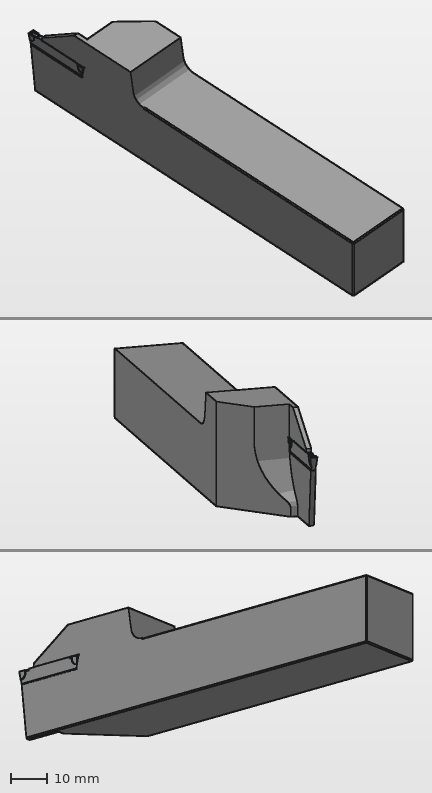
import cadquery as cq
import math

LENGTH = 125.0
SHANK = 20.0
HEAD_TOP = 30.1
BLADE_THICKNESS = 1.5
BLADE_FOOT_X = 2.4
BLADE_LEAN = 6.0
JAW_TIP_X = 5.0
JAW_NOSE_TOP = 21.5
HEAD_FRONT_X = 17.4
HEAD_BACK_X = 39.1
HEAD_BACK_LEAN = 9.0
HEAD_FILLET = 4.0
EDGE_CHAMFER = 0.4

BEVEL_END_X = 29.4
RELIEF_WALL_X = 21.0
RELIEF_ARC_TOP = 20.2
RELIEF_RADIUS = 21.0
RELIEF_NOSE_RADIUS = 3.0
RELIEF_FOOT_X = 12.9

INSERT_LENGTH = 20.9
TIP_WIDTH = 2.0
TIP_FOOT_WIDTH = 1.5
TIP_LENGTH = 2.0
TIP_HEIGHT = 2.5
TIP_TOP = 20.2
TIP_STRAIGHT = 1.1
TIP_RADIUS = 1.9
GROOVE_FRONT = 0.5
GROOVE_WIDTH = 1.0
GROOVE_DEPTH = 0.2
WEB_WIDTH = 1.2
INSERT_TOP = 20.5
INSERT_BOTTOM = 16.4
INSERT_END_SLOPE = 0.5
TIP_LAND = 2.9
TOP_RAMP = 0.5
WEB_BEVEL_HEIGHT = 0.4
WEB_BEVEL_DEPTH = 0.2
SEAT_BACK_X = 21.2

CUT_MARGIN = 6.2
MID_Y = BLADE_THICKNESS / 2
INSERT_MID_X = INSERT_LENGTH / 2

BACK_ANGLE = math.radians(HEAD_BACK_LEAN)
HEAD_CORNER_X = HEAD_BACK_X + (HEAD_TOP - SHANK) * math.tan(BACK_ANGLE)
FILLET_TANGENT = HEAD_FILLET * math.tan((math.pi / 2 - BACK_ANGLE) / 2)
FILLET_END_X = HEAD_CORNER_X + FILLET_TANGENT


def prism(sketch, y_start, y_end):
    """Extrude an XZ outline between two Y positions."""
    return sketch.extrude(-(y_end - y_start)).translate((0, y_start, 0))


def make_profile():
    """Side outline of the holder, extruded over the full shank width."""
    blade_top_x = BLADE_FOOT_X - INSERT_TOP * math.tan(math.radians(BLADE_LEAN))
    fillet_start = (
        HEAD_CORNER_X - FILLET_TANGENT * math.sin(BACK_ANGLE),
        SHANK + FILLET_TANGENT * math.cos(BACK_ANGLE),
    )
    outline = (
        cq.Workplane("XZ")
        .moveTo(BLADE_FOOT_X, 0)
        .lineTo(LENGTH, 0)
        .lineTo(LENGTH, SHANK)
        .lineTo(FILLET_END_X, SHANK)
        .radiusArc(fillet_start, HEAD_FILLET)
        .lineTo(HEAD_BACK_X, HEAD_TOP)
        .lineTo(HEAD_FRONT_X, HEAD_TOP)
        .lineTo(JAW_TIP_X, JAW_NOSE_TOP)
        .lineTo(JAW_TIP_X, INSERT_TOP)
        .lineTo(blade_top_x, INSERT_TOP)
        .close()
    )
    return prism(outline, 0, SHANK)


def chamfer_lower_and_end_edges(body):
    """Break the lower front edge and the edges around the shank end."""
    end_edges = body.faces(">X").edges("not >Y")
    lower_edge = body.faces("<Y").edges("<Z")
    return body.newObject(end_edges.vals() + lower_edge.vals()).chamfer(EDGE_CHAMFER)


def make_upper_edge_cut():
    """Wedge that breaks the upper front edge of the shank, ending at the head fillet."""
    return (
        cq.Workplane("YZ", origin=(FILLET_END_X, 0, 0))
        .moveTo(0, SHANK - EDGE_CHAMFER)
        .lineTo(EDGE_CHAMFER, SHANK)
        .lineTo(0, SHANK)
        .close()
        .extrude(LENGTH - FILLET_END_X)
    )


def make_bevel():
    """45 degree cut across the rear of the head."""
    reach = SHANK + CUT_MARGIN
    return (
        cq.Workplane("XY")
        .moveTo(BEVEL_END_X + CUT_MARGIN, reach)
        .lineTo(-CUT_MARGIN, reach)
        .lineTo(-CUT_MARGIN, BLADE_THICKNESS)
        .lineTo(BEVEL_END_X - SHANK + BLADE_THICKNESS, BLADE_THICKNESS)
        .close()
        .extrude(HEAD_TOP)
    )


def make_relief():
    """Swept clearance that leaves only the thin blade at the front."""
    angle = math.acos(
        1 - (RELIEF_WALL_X - RELIEF_FOOT_X) / (RELIEF_RADIUS + RELIEF_NOSE_RADIUS)
    )
    blend_x = RELIEF_WALL_X - RELIEF_RADIUS * (1 - math.cos(angle))
    blend_z = RELIEF_ARC_TOP - RELIEF_RADIUS * math.sin(angle)
    foot_z = blend_z - RELIEF_NOSE_RADIUS * math.sin(angle)
    outline = (
        cq.Workplane("XZ")
        .moveTo(-CUT_MARGIN, 0)
        .lineTo(RELIEF_FOOT_X, 0)
        .lineTo(RELIEF_FOOT_X, foot_z)
        .radiusArc((blend_x, blend_z), RELIEF_NOSE_RADIUS)
        .radiusArc((RELIEF_WALL_X, RELIEF_ARC_TOP), -RELIEF_RADIUS)
        .lineTo(RELIEF_WALL_X, HEAD_TOP)
        .lineTo(-CUT_MARGIN, HEAD_TOP)
        .close()
    )
    return prism(outline, BLADE_THICKNESS, SHANK)


def make_seat():
    """Slot in the blade that takes the insert."""
    outline = (
        cq.Workplane("XZ")
        .moveTo(-CUT_MARGIN, INSERT_BOTTOM)
        .lineTo(INSERT_LENGTH - INSERT_END_SLOPE, INSERT_BOTTOM)
        .lineTo(SEAT_BACK_X, INSERT_TOP)
        .lineTo(-CUT_MARGIN, INSERT_TOP)
        .close()
    )
    return prism(outline, -CUT_MARGIN, MID_Y + TIP_WIDTH / 2)


def make_web():
    """Narrow centre of the insert, with its lower side edges bevelled."""
    outline = (
        cq.Workplane("XZ")
        .moveTo(INSERT_END_SLOPE, INSERT_BOTTOM)
        .lineTo(INSERT_LENGTH - INSERT_END_SLOPE, INSERT_BOTTOM)
        .lineTo(INSERT_LENGTH, TIP_TOP)
        .lineTo(INSERT_LENGTH - TIP_LAND, TIP_TOP)
        .lineTo(INSERT_LENGTH - TIP_LAND - TOP_RAMP, INSERT_TOP)
        .lineTo(TIP_LAND + TOP_RAMP, INSERT_TOP)
        .lineTo(TIP_LAND, TIP_TOP)
        .lineTo(0, TIP_TOP)
        .close()
    )
    web = prism(outline, MID_Y - WEB_WIDTH / 2, MID_Y + WEB_WIDTH / 2)
    return web.faces("<Z").edges("|X").chamfer(WEB_BEVEL_HEIGHT, WEB_BEVEL_DEPTH)


def make_tip():
    """Wide cutting tip at the front end of the insert, narrowing downward."""
    lean = INSERT_END_SLOPE * TIP_HEIGHT / (TIP_TOP - INSERT_BOTTOM)
    outline = (
        cq.Workplane("XZ")
        .moveTo(0, TIP_TOP)
        .lineTo(TIP_LENGTH, TIP_TOP)
        .lineTo(TIP_LENGTH, TIP_TOP - TIP_STRAIGHT)
        .radiusArc((lean, TIP_TOP - TIP_HEIGHT), TIP_RADIUS)
        .close()
    )
    block = prism(outline, MID_Y - TIP_WIDTH / 2, MID_Y + TIP_WIDTH / 2)
    side_relief = (
        cq.Workplane("YZ")
        .moveTo(MID_Y - TIP_WIDTH / 2, TIP_TOP)
        .lineTo(MID_Y + TIP_WIDTH / 2, TIP_TOP)
        .lineTo(MID_Y + TIP_FOOT_WIDTH / 2, TIP_TOP - TIP_HEIGHT)
        .lineTo(MID_Y - TIP_FOOT_WIDTH / 2, TIP_TOP - TIP_HEIGHT)
        .close()
        .extrude(TIP_LENGTH)
    )
    return block.intersect(side_relief)


def make_chip_groove():
    """Shallow groove in the lowered top behind the front cutting edge."""
    return cq.Workplane("XY").box(
        TIP_LAND - GROOVE_FRONT, GROOVE_WIDTH, GROOVE_DEPTH, centered=(False, True, False)
    ).translate((GROOVE_FRONT, MID_Y, TIP_TOP - GROOVE_DEPTH))


def mirror_to_rear(front_shape):
    return front_shape.mirror("YZ", (INSERT_MID_X, 0, 0))


def make_insert():
    tip = make_tip()
    groove = make_chip_groove()
    blank = make_web().union(tip).union(mirror_to_rear(tip))
    return blank.cut(groove).cut(mirror_to_rear(groove))


def make_holder():
    body = chamfer_lower_and_end_edges(make_profile()).cut(make_upper_edge_cut())
    return body.cut(make_bevel()).cut(make_relief()).cut(make_seat())


holder = make_holder()
insert = make_insert()
result = cq.Compound.makeCompound([holder.val(), insert.val()])